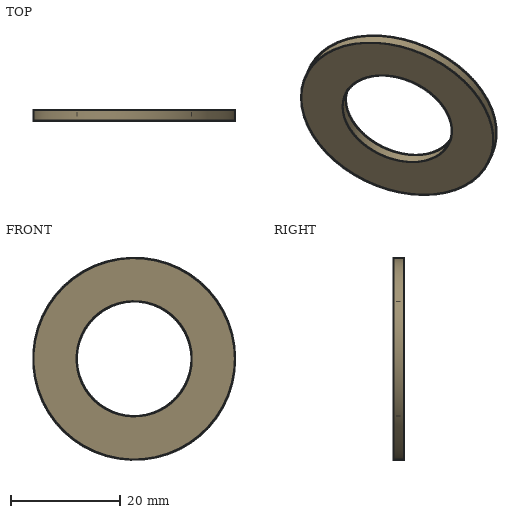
import cadquery as cq

outer_diameter = 37.0
hole_diameter = 21.0
thickness = 2.0


def make_washer():
    """Ring centred on the origin, with half its thickness on each side of the XZ plane."""
    return (
        cq.Workplane("XZ", origin=(0, thickness / 2, 0))
        .circle(outer_diameter / 2)
        .circle(hole_diameter / 2)
        .extrude(thickness)
    )


result = make_washer()